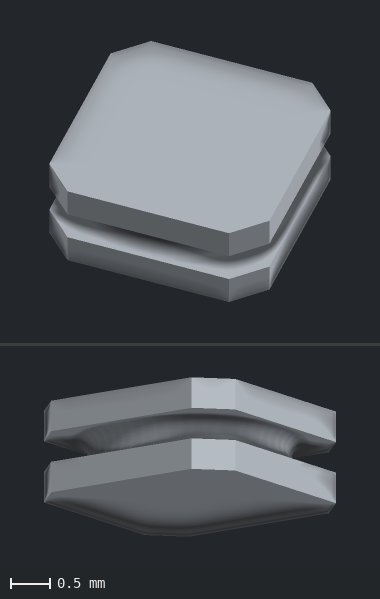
import cadquery as cq

width = 3.0
height = 1.2
flange_height = height / 3
corner_cut = width * 2 / 15
terminal_height = 0.15
terminal_length = 0.75
post_radius = 0.75

half_width = width / 2
winding_height = height - 2 * flange_height
groove_radius = winding_height / 2
winding_bottom = flange_height
winding_top = height - flange_height


def octagon_slab(bottom, thickness):
    """Square slab with its four vertical corners cut at 45 degrees."""
    slab = cq.Workplane("XY").workplane(offset=bottom).rect(width, width).extrude(thickness)
    return slab.edges("|Z").chamfer(corner_cut)


def make_terminal(side):
    """Bottom pad filling the outline at one Y end; side is -1 or +1."""
    strip = (
        cq.Workplane("XY")
        .center(0, side * (half_width - terminal_length / 2))
        .rect(width, terminal_length)
        .extrude(terminal_height)
    )
    return octagon_slab(0, terminal_height).intersect(strip)


def make_core(terminals):
    """Drum core: two flanges joined by a post, with recesses for the terminals."""
    post = cq.Workplane("XY").workplane(offset=winding_bottom).circle(post_radius).extrude(winding_height)
    core = octagon_slab(0, flange_height).union(post).union(octagon_slab(winding_top, flange_height))
    for terminal in terminals:
        core = core.cut(terminal)
    return core


def make_winding():
    """Ring around the post whose outer wall is a concave half circle."""
    return (
        cq.Workplane("XZ")
        .moveTo(post_radius, winding_bottom)
        .lineTo(half_width, winding_bottom)
        .threePointArc((half_width - groove_radius, height / 2), (half_width, winding_top))
        .lineTo(post_radius, winding_top)
        .close()
        .revolve(360, (0, 0, 0), (0, 1, 0))
    )


terminals = [make_terminal(side) for side in (-1, 1)]
core = make_core(terminals)
winding = make_winding()

result = cq.Compound.makeCompound(
    [core.val(), winding.val(), *[terminal.val() for terminal in terminals]]
)